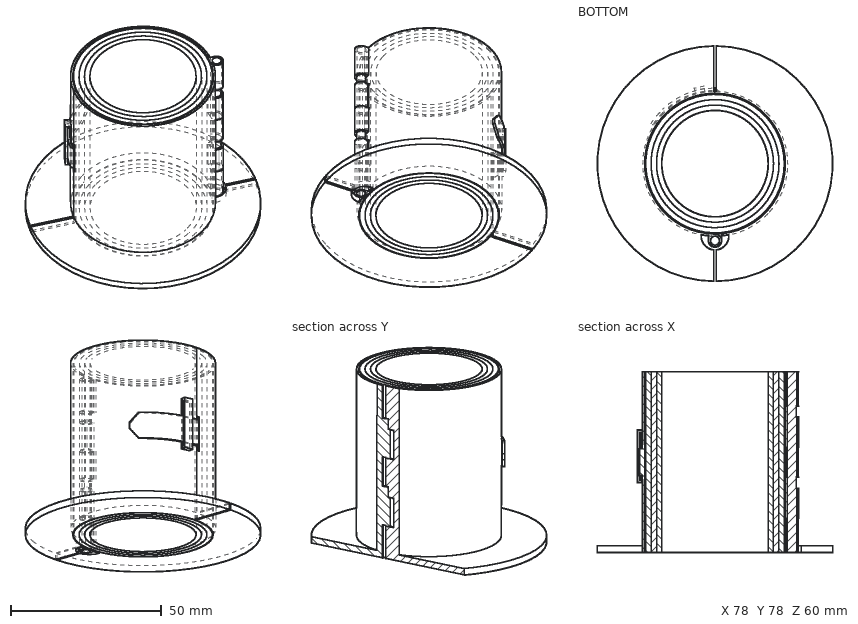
import cadquery as cq
import math

flange_radius = 39.0
height = 60.0
flange_thickness = 2.35
flange_gap = 0.8

bore_diameter = 35.2
bore_radius = bore_diameter / 2
tube_stack_radius = 23.0
tube_count = 3
tube_wall = (tube_stack_radius - bore_radius) / tube_count

tube_clearance = 0.2
shell_inner_radius = tube_stack_radius + tube_clearance
shell_radius = 24.0

pin_radius = 1.5
knuckle_radius = 2.2
hinge_y = shell_radius + pin_radius
hinge_notch_radius = 4.5
knuckle_length = 10.0
knuckle_gap = 3.6
end_knuckle_length = (height - 3 * knuckle_length - 2 * knuckle_gap) / 2

strap_inner_radius = 24.3
strap_radius = 25.1
strap_width = 9.0
strap_z = height / 2
strap_tip_angle = 58.0
strap_shoulder_angle = 51.0
strap_tip_width = 2.0
strap_end_x = 0.9
strap_end_chamfer = 0.85
strap_bend_radius = 1.1

tab_radius = 24.2
tab_width = 1.2
tab_height = 11.85

buckle_angle = 12.0
buckle_width = 3.3
buckle_height = 17.5
buckle_z = 31.9
buckle_face_distance = 26.0
buckle_wall = 0.8
buckle_base_distance = 24.2

root_radius = (shell_inner_radius + shell_radius) / 2

LEFT = -1
RIGHT = 1


def ring(outer_radius, inner_radius, length):
    """Hollow cylinder standing on Z = 0."""
    return cq.Workplane("XY").circle(outer_radius).circle(inner_radius).extrude(length)


def side_box(side, x_size, y_min, y_max, z_min, z_max):
    """Box that reaches from the split plane X = 0 out to one side."""
    return (
        cq.Workplane("XY")
        .box(x_size, y_max - y_min, z_max - z_min, centered=False)
        .translate((0 if side == RIGHT else -x_size, y_min, z_min))
    )


def knuckle_spans():
    """Bottom and top of each knuckle, as two lists: left half, right half."""
    low_right = end_knuckle_length
    middle_left = low_right + knuckle_length + knuckle_gap
    high_right = middle_left + knuckle_length
    left = [
        (0, end_knuckle_length),
        (middle_left, middle_left + knuckle_length),
        (height - end_knuckle_length, height),
    ]
    right = [
        (low_right, low_right + knuckle_length),
        (high_right, high_right + knuckle_length),
    ]
    return left, right


def knuckle(side, z_min, z_max):
    """Hinge barrel with a straight-sided leaf that joins it to the shell of its half."""
    barrel = (
        cq.Workplane("XY", origin=(0, hinge_y, z_min))
        .circle(knuckle_radius)
        .extrude(z_max - z_min)
    )
    leaf = side_box(side, knuckle_radius, shell_inner_radius, hinge_y, z_min, z_max)
    core = cq.Workplane("XY").circle(shell_inner_radius).extrude(height)
    return barrel.union(leaf).cut(core)


def half_shell(side, own_spans, mating_spans):
    """Half sleeve with its half flange and its hinge knuckles."""
    flange = ring(flange_radius, shell_radius, flange_thickness)
    gap = cq.Workplane("XY").box(flange_gap, 2 * flange_radius, 2 * flange_thickness)
    hinge_notch = (
        cq.Workplane("XY", origin=(0, shell_radius, 0))
        .circle(hinge_notch_radius)
        .extrude(flange_thickness)
    )
    flange = flange.cut(gap).cut(hinge_notch)

    half_space = side_box(side, flange_radius, -flange_radius, flange_radius, 0, height)
    half = ring(shell_radius, shell_inner_radius, height).union(flange).intersect(half_space)

    for z_min, z_max in mating_spans:
        half = half.cut(side_box(side, knuckle_radius, 0, hinge_y, z_min, z_max))
    for z_min, z_max in own_spans:
        half = half.union(knuckle(side, z_min, z_max))
    pin_hole = cq.Workplane("XY", origin=(0, hinge_y, 0)).circle(pin_radius).extrude(height)
    return half.cut(pin_hole)


def buckle():
    """Closed rectangular loop, standing on the shell, with a slot for the strap."""
    outer = cq.Workplane("XY").box(
        buckle_width, buckle_face_distance, buckle_height, centered=(True, False, True)
    )
    slot = (
        cq.Workplane("XY")
        .box(
            2 * buckle_width,
            buckle_face_distance - buckle_wall - buckle_base_distance,
            buckle_height - 2 * buckle_wall,
            centered=(True, False, True),
        )
        .translate((0, buckle_base_distance, 0))
    )
    core = cq.Workplane("XY").circle(root_radius).extrude(buckle_height, both=True)
    return (
        outer.cut(slot)
        .cut(core)
        .rotate((0, 0, 0), (0, 0, 1), 180 - buckle_angle)
        .translate((0, 0, buckle_z))
    )


def strap_outline():
    """Prism that trims the strap to its width and tapers its tip, square to the tip."""
    taper_length = strap_radius * math.sin(math.radians(strap_tip_angle - strap_shoulder_angle))
    return (
        cq.Workplane("XZ")
        .moveTo(0, strap_tip_width / 2)
        .lineTo(taper_length, strap_width / 2)
        .lineTo(2 * strap_radius, strap_width / 2)
        .lineTo(2 * strap_radius, -strap_width / 2)
        .lineTo(taper_length, -strap_width / 2)
        .lineTo(0, -strap_tip_width / 2)
        .close()
        .extrude(flange_radius)
        .rotate((0, 0, 0), (0, 0, 1), -strap_tip_angle)
    )


def strap():
    """Curved strap with a tapered tip and a root end that bends down to a short tab."""
    end_trim = (
        cq.Workplane("XY")
        .box(2 * flange_radius, flange_radius, strap_width)
        .translate((strap_end_x - flange_radius, -flange_radius / 2, 0))
    )
    band = (
        ring(strap_radius, strap_inner_radius, strap_width)
        .translate((0, 0, -strap_width / 2))
        .intersect(strap_outline())
        .intersect(end_trim)
    )
    root_space = side_box(RIGHT, strap_end_x, -flange_radius, 0, -strap_width / 2, strap_width / 2)
    root = (
        ring(strap_radius, root_radius, strap_width)
        .translate((0, 0, -strap_width / 2))
        .intersect(root_space)
    )
    band = band.union(root).edges("|Z and >X and <Y").chamfer(strap_end_chamfer)
    band = band.edges("|Z and <Y").fillet(strap_bend_radius)

    tab_space = side_box(RIGHT, tab_width, -flange_radius, 0, -tab_height / 2, tab_height / 2)
    tab = (
        ring(tab_radius, root_radius, tab_height)
        .translate((0, 0, -tab_height / 2))
        .intersect(tab_space)
    )
    return band.union(tab).translate((0, 0, strap_z))


def tube(index):
    """One of the nested tubes, counted from the bore outwards."""
    inner_radius = bore_radius + index * tube_wall
    return ring(inner_radius + tube_wall, inner_radius, height)


left_spans, right_spans = knuckle_spans()
left_half = half_shell(LEFT, left_spans, right_spans).union(buckle())
right_half = half_shell(RIGHT, right_spans, left_spans).union(strap())
hinge_pin = cq.Workplane("XY", origin=(0, hinge_y, 0)).circle(pin_radius).extrude(height)
tubes = [tube(index) for index in range(tube_count)]

result = cq.Compound.makeCompound(
    [left_half.val(), right_half.val(), hinge_pin.val(), *[body.val() for body in tubes]]
)